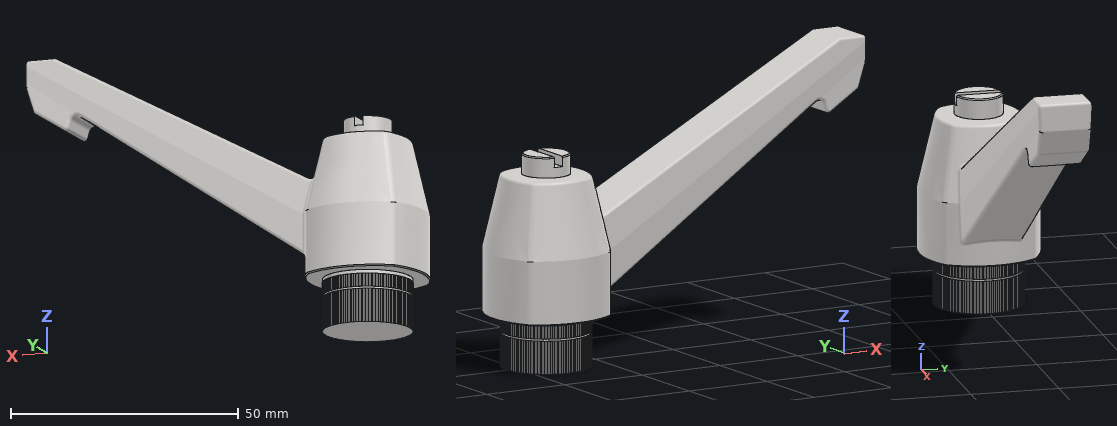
import cadquery as cq
import math

core_diameter = 20.0
tooth_tip_diameter = 20.2
tooth_count = 100
tooth_phase = 1.2
lower_band_top = 7.5
upper_band_bottom = 8.0
upper_band_top = 10.9
collar_overlap = 0.9

hub_bottom = 11.8
hub_shoulder = 26.2
hub_top = 43.25
hub_half_width = 13.6
hub_side_radius = 17.8
hub_corner_radius = 3.0
hub_taper = 13.2
hub_top_fillet = 1.1
hub_bottom_chamfer = 0.3

screw_diameter = 10.8
screw_top = 47.9
screw_chamfer = 0.3
slot_width = 2.0
slot_depth = 2.3

arm_start = 5.6
arm_end = 79.0
arm_top = 67.0
upper_slope = math.tan(math.radians(28.3))
parting_slope = math.tan(math.radians(30.8))
lower_slope = math.tan(math.radians(34.0))
flat_start = 72.0
parting_height_at_axis = 18.6
lower_height_at_axis = 8.6
end_bevel_height = 60.7
hook_heel = (77.15, 54.9)
hook_tip = (68.9, 49.7)
hook_root_x = 67.6
hook_root_radius = 1.5
arm_half_width_at_axis = 7.5
arm_half_width_at_end = 6.1
arm_draft = math.tan(math.radians(2.5))
arm_edge_fillet = 0.8
root_fillet = 0.8
root_zone_start = 10.2
root_zone_length = 3.7


def ring_of_teeth(bottom, top):
    """Serrated band with V-shaped teeth around the core."""
    points = []
    for i in range(2 * tooth_count):
        radius = (tooth_tip_diameter if i % 2 == 0 else core_diameter) / 2
        angle = math.radians(tooth_phase) + math.pi * i / tooth_count
        points.append((radius * math.cos(angle), radius * math.sin(angle)))
    return cq.Workplane("XY").workplane(offset=bottom).polyline(points).close().extrude(top - bottom)


def hub_outline(height):
    """Square outline with four bulged sides meeting on the diagonals."""
    bulge_centre = hub_half_width - hub_side_radius
    corner = (bulge_centre + math.sqrt(2 * hub_side_radius**2 - bulge_centre**2)) / 2
    return (
        cq.Workplane("XY").workplane(offset=height)
        .moveTo(corner, -corner)
        .threePointArc((hub_half_width, 0), (corner, corner))
        .threePointArc((0, hub_half_width), (-corner, corner))
        .threePointArc((-hub_half_width, 0), (-corner, -corner))
        .threePointArc((0, -hub_half_width), (corner, -corner))
        .close()
    )


def make_hub():
    """Straight base and tapered top, with rounded corners and rim."""
    straight = hub_outline(hub_bottom).extrude(hub_shoulder - hub_bottom)
    straight = straight.edges("|Z").fillet(hub_corner_radius).faces("<Z").chamfer(hub_bottom_chamfer)
    tapered = hub_outline(hub_shoulder).extrude(hub_top - hub_shoulder, taper=hub_taper)
    tapered = tapered.edges("not(<Z or >Z)").fillet(hub_corner_radius)
    tapered = tapered.faces(">Z").edges().fillet(hub_top_fillet)
    return straight.union(tapered)


def make_screw():
    """Slotted screw head whose shank is sunk into the hub."""
    head = (
        cq.Workplane("XY").workplane(offset=hub_shoulder)
        .circle(screw_diameter / 2).extrude(screw_top - hub_shoulder)
        .faces(">Z").chamfer(screw_chamfer)
    )
    slot = (
        cq.Workplane("XY").workplane(offset=screw_top - slot_depth)
        .rect(slot_width, 2 * screw_diameter).extrude(2 * slot_depth)
    )
    return head.cut(slot)


def lower_height(x):
    """Height of the lower edge of the arm at a given X."""
    return lower_height_at_axis + lower_slope * x


def arm_section(x):
    """Oversized section of the drafted arm, widest at the parting line.

    The sides run vertically below the lower edge, where only the hook remains.
    """
    parting = parting_height_at_axis + parting_slope * x
    share = x / arm_end
    half_width = arm_half_width_at_axis + share * (arm_half_width_at_end - arm_half_width_at_axis)
    top = arm_top + upper_slope * x
    lower = lower_height(x)
    top_half = half_width - arm_draft * (top - parting)
    low_half = half_width - arm_draft * (parting - lower)
    side = [(top_half, top), (half_width, parting), (low_half, lower), (low_half, lower - arm_top)]
    points = side + [(-y, z) for y, z in reversed(side)]
    return cq.Wire.makePolygon([cq.Vector(x, y, z) for y, z in points], close=True)


def make_arm():
    """Side profile with the end hook, trimmed to the drafted sides and rounded."""
    outline = [
        (arm_start, arm_top - upper_slope * (flat_start - arm_start)),
        (flat_start, arm_top),
        (arm_end, arm_top),
        (arm_end, end_bevel_height),
        hook_heel,
        hook_tip,
        (hook_root_x, lower_height(hook_root_x)),
        (arm_start, lower_height(arm_start)),
    ]
    profile = cq.Workplane("XZ").polyline(outline).close().extrude(hub_half_width, both=True)
    hook_root = cq.selectors.NearestToPointSelector((hook_root_x, 0, lower_height(hook_root_x)))
    profile = profile.edges("|Y").edges(hook_root).fillet(hook_root_radius)
    body = cq.Workplane(cq.Solid.makeLoft([arm_section(0), arm_section(arm_end)], True))
    arm = body.intersect(profile)
    rims = arm.faces("(#Y or %CYLINDER) and (not <X)").edges("not <X")
    return rims.fillet(arm_edge_fillet)


def make_collar():
    """Core with two serrated bands and a plain groove between them."""
    collar = cq.Workplane("XY").circle(core_diameter / 2).extrude(hub_bottom + collar_overlap)
    for bottom, top in [(0, lower_band_top), (upper_band_bottom, upper_band_top)]:
        collar = collar.union(ring_of_teeth(bottom, top))
    return collar


def join_arm(hub, arm):
    """Unite hub and arm and round the seam where the arm leaves the hub."""
    joined = hub.union(arm)
    seam = cq.selectors.BoxSelector(
        (root_zone_start, -arm_half_width_at_axis, lower_height(root_zone_start)),
        (root_zone_start + root_zone_length, arm_half_width_at_axis, hub_top),
    )
    return joined.edges(seam).fillet(root_fillet)


result = join_arm(make_hub(), make_arm()).union(make_screw()).union(make_collar())